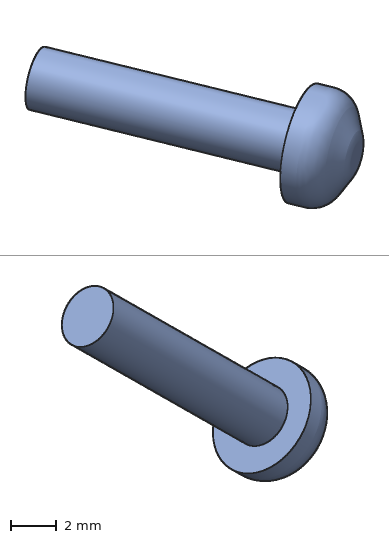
import cadquery as cq
import math

total_length = 15.0
shank_length = 12.5
shank_radius = 2.85 / 2
head_radius = 5.4 / 2
rim_thickness = 0.76

shoulder_arc_radius = 1.25
tip_arc_radius = 0.9
cone_angle = math.radians(60)


def arc_point(center, radius, angle):
    """Point on an arc, with the angle measured from the radial direction toward +X."""
    return (center[0] + radius * math.sin(angle), center[1] + radius * math.cos(angle))


rim_end = shank_length + rim_thickness
shoulder_center = (rim_end, head_radius - shoulder_arc_radius)
shoulder_middle = arc_point(shoulder_center, shoulder_arc_radius, cone_angle / 2)
cone_start = arc_point(shoulder_center, shoulder_arc_radius, cone_angle)

tip_arc_depth = tip_arc_radius * (1 - math.sin(cone_angle))
cone_end_x = total_length - tip_arc_depth
cone_end_radius = cone_start[1] - (cone_end_x - cone_start[0]) * math.tan(cone_angle)
cone_end = (cone_end_x, cone_end_radius)
tip_flat_radius = cone_end_radius - tip_arc_radius * math.cos(cone_angle)
tip_center = (total_length - tip_arc_radius, tip_flat_radius)
tip_middle = arc_point(tip_center, tip_arc_radius, (cone_angle + math.pi / 2) / 2)

profile = (
    cq.Workplane("XY")
    .moveTo(0, 0)
    .lineTo(0, shank_radius)
    .lineTo(shank_length, shank_radius)
    .lineTo(shank_length, head_radius)
    .lineTo(rim_end, head_radius)
    .threePointArc(shoulder_middle, cone_start)
    .lineTo(*cone_end)
    .threePointArc(tip_middle, (total_length, tip_flat_radius))
    .lineTo(total_length, 0)
    .close()
)

result = profile.revolve(360, (0, 0, 0), (1, 0, 0))